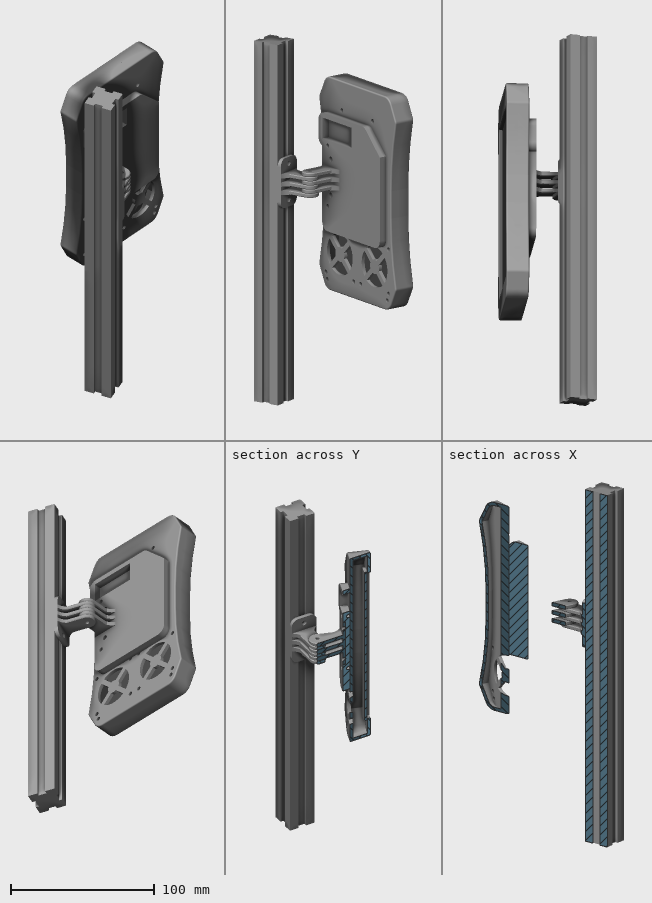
import cadquery as cq
import math

POST_LENGTH = 260.0
POST_SIDE = 20.0
GROOVE_WIDTH = 6.0
GROOVE_DEPTH = 2.3

BASE_THICKNESS = 2.5
BASE_LENGTH = 36.0
BASE_CORNER_RADIUS = 5.2
AXIS_TO_BASE_BOTTOM = 20.5
PRONG_COUNT = 3
PRONG_PITCH = 6.0
PRONG_THICKNESS = PRONG_PITCH / 2
PRONG_RADIUS = 6.0
PRONG_FLARE = POST_SIDE / 2 - PRONG_RADIUS
PRONG_FLARE_SAG = 0.4
PRONG_CHAMFER = 0.5
CHAMFER_START = 0.3
PIVOT_HOLE_DIAMETER = 2.9
BASE_SCREW_DIAMETER = 3.6
BASE_SCREW_SPACING = 26.0

TILT = 19.0
HINGE_Y = POST_SIDE / 2 + AXIS_TO_BASE_BOTTOM
POST_BRACKET_Z = 29.6
MONITOR_BRACKET_Z = POST_BRACKET_Z + PRONG_PITCH / 2

HOUSING_ACROSS = 23.1
HOUSING_Z = 25.2
HOUSING_DEPTH = 15.9
HALF_HEIGHT = 77.0
HALF_END_WIDTH = 36.5
HALF_TIP_WIDTH = 44.5
TIP_HEIGHT = 60.3
HALF_WAIST_WIDTH = 38.7
HALF_WAIST_LENGTH = 10.0
END_CORNER_RADIUS = 8.0
TIP_RADIUS = 3.0
EDGE_FILLET = 1.0
WALL = 2.5

WINDOW_WIDTH = 69.5
WINDOW_HEIGHT = 122.7
WINDOW_DROP = 1.0
WINDOW_DRAFT = 14.0
DISPLAY_RIM = 1.0
DISPLAY_THICKNESS = 2.0

COVER_THICKNESS = 5.5
COVER_LEFT = -14.3
COVER_RIGHT = 56.5
COVER_STEP_LEFT = -POST_SIDE / 2
COVER_TOP = 52.0
COVER_BOTTOM = -32.5
COVER_STEP_Z = 33.8
COVER_BEVEL = 18.0
COVER_CORNER_RADIUS = 6.0
COVER_WINDOW_LEFT = -9.5
COVER_WINDOW_RIGHT = 24.0
COVER_WINDOW_BOTTOM = 33.3
COVER_WINDOW_TOP = 48.4
COVER_SCREW_DIAMETER = 3.0
COVER_SCREW_ACROSS = -3.6
COVER_SCREW_SPACING = 43.7

FAN_SIZE = 40.0
FAN_Z = -48.5
FAN_SCREW_SPACING = 32.0
VENT_OUTER_RADIUS = 14.8
VENT_INNER_RADIUS = 5.2
VENT_ARM_WIDTH = 3.6
SHELL_SCREW_DIAMETER = 3.0
SHELL_SCREWS = [(17.7, 56.0), (34.5, -69.7)]

COVER_OUTER = -(AXIS_TO_BASE_BOTTOM - BASE_THICKNESS)
REAR_FACE = COVER_OUTER - COVER_THICKNESS
FRONT_FACE = REAR_FACE - HOUSING_DEPTH
SPLIT_FACE = (REAR_FACE + FRONT_FACE) / 2


def monitor_plane(depth, across=0.0, height=0.0):
    """Plane facing the back of the monitor: local x runs sideways and local y runs up."""
    angle = math.radians(TILT)
    back = cq.Vector(math.cos(angle), -math.sin(angle), 0)
    side = cq.Vector(math.sin(angle), math.cos(angle), 0)
    origin = cq.Vector(0, HINGE_Y, height) + back * depth + side * across
    return cq.Workplane(cq.Plane(origin=origin, xDir=side, normal=back))


def housing_plane(depth):
    return monitor_plane(depth, HOUSING_ACROSS, HOUSING_Z)


def make_post():
    post = cq.Workplane("XY").box(POST_SIDE, POST_SIDE, POST_LENGTH)
    groove_offset = (POST_SIDE - GROOVE_DEPTH) / 2
    groove = (
        cq.Workplane("XY")
        .box(GROOVE_DEPTH, GROOVE_WIDTH, POST_LENGTH)
        .translate((groove_offset, 0, 0))
    )
    for side in range(4):
        post = post.cut(groove.rotate((0, 0, 0), (0, 0, 1), 90 * side))
    return post


def bracket_base():
    """Base plate below a hinge axis at the origin; the prongs rise from it along +Y."""
    base = (
        cq.Workplane("XY")
        .box(POST_SIDE, BASE_THICKNESS, BASE_LENGTH)
        .edges("|Y")
        .fillet(BASE_CORNER_RADIUS)
    )
    return base.translate((0, BASE_THICKNESS / 2 - AXIS_TO_BASE_BOTTOM, 0))


def bracket_prong():
    """One prong, flared at the base and round about the hinge axis, its root inside the base."""
    base_top = BASE_THICKNESS - AXIS_TO_BASE_BOTTOM
    root = base_top - BASE_THICKNESS / 2
    flare_top = base_top + PRONG_FLARE
    foot = PRONG_RADIUS + PRONG_FLARE
    flare_middle = PRONG_FLARE / 2 - PRONG_FLARE_SAG * math.sqrt(0.5)
    hollow_across = PRONG_RADIUS + flare_middle
    hollow_height = base_top + flare_middle
    prong = (
        cq.Workplane("XY")
        .moveTo(-foot, root)
        .lineTo(foot, root)
        .lineTo(foot, base_top)
        .threePointArc((hollow_across, hollow_height), (PRONG_RADIUS, flare_top))
        .lineTo(PRONG_RADIUS, 0)
        .threePointArc((0, PRONG_RADIUS), (-PRONG_RADIUS, 0))
        .lineTo(-PRONG_RADIUS, flare_top)
        .threePointArc((-hollow_across, hollow_height), (-foot, base_top))
        .close()
        .extrude(PRONG_THICKNESS / 2, both=True)
    )
    above_flare = cq.selectors.BoxSelector(
        (-foot, flare_top + CHAMFER_START, -PRONG_THICKNESS),
        (foot, 2 * PRONG_RADIUS, PRONG_THICKNESS),
    )
    return prong.faces("<Z or >Z").edges(above_flare).chamfer(PRONG_CHAMFER)


def make_bracket():
    bracket = bracket_base()
    middle = (PRONG_COUNT - 1) / 2
    for index in range(PRONG_COUNT):
        bracket = bracket.union(bracket_prong().translate((0, 0, (index - middle) * PRONG_PITCH)))
    pivot_hole = cq.Workplane("XY").circle(PIVOT_HOLE_DIAMETER / 2).extrude(BASE_LENGTH / 2, both=True)
    screw_holes = (
        cq.Workplane("XZ")
        .pushPoints([(0, -BASE_SCREW_SPACING / 2), (0, BASE_SCREW_SPACING / 2)])
        .circle(BASE_SCREW_DIAMETER / 2)
        .extrude(AXIS_TO_BASE_BOTTOM)
    )
    return bracket.cut(pivot_hole).cut(screw_holes)


def place_on_post(body):
    return body.translate((0, HINGE_Y, POST_BRACKET_Z))


def place_on_monitor(body):
    turned = body.rotate((0, 0, 0), (0, 0, 1), -90 - TILT)
    return turned.translate((0, HINGE_Y, MONITOR_BRACKET_Z))


def waist_arc_point():
    """Middle of the arc that leaves the straight waist tangentially and ends at the tip."""
    rise = TIP_HEIGHT - HALF_WAIST_LENGTH
    swell = HALF_TIP_WIDTH - HALF_WAIST_WIDTH
    radius = (rise**2 + swell**2) / (2 * swell)
    half_angle = math.asin(rise / radius) / 2
    across = HALF_WAIST_WIDTH + radius * (1 - math.cos(half_angle))
    return across, HALF_WAIST_LENGTH + radius * math.sin(half_angle)


def is_tip_edge(edge):
    return math.isclose(abs(edge.Center().z - HOUSING_Z), TIP_HEIGHT, abs_tol=0.003)


def housing_block(depth, thickness):
    """Waisted outline of the housing with rounded tips and corners."""
    arc_across, arc_height = waist_arc_point()
    block = (
        housing_plane(depth)
        .moveTo(-HALF_END_WIDTH, HALF_HEIGHT)
        .lineTo(HALF_END_WIDTH, HALF_HEIGHT)
        .lineTo(HALF_TIP_WIDTH, TIP_HEIGHT)
        .threePointArc((arc_across, arc_height), (HALF_WAIST_WIDTH, HALF_WAIST_LENGTH))
        .lineTo(HALF_WAIST_WIDTH, -HALF_WAIST_LENGTH)
        .threePointArc((arc_across, -arc_height), (HALF_TIP_WIDTH, -TIP_HEIGHT))
        .lineTo(HALF_END_WIDTH, -HALF_HEIGHT)
        .lineTo(-HALF_END_WIDTH, -HALF_HEIGHT)
        .lineTo(-HALF_TIP_WIDTH, -TIP_HEIGHT)
        .threePointArc((-arc_across, -arc_height), (-HALF_WAIST_WIDTH, -HALF_WAIST_LENGTH))
        .lineTo(-HALF_WAIST_WIDTH, HALF_WAIST_LENGTH)
        .threePointArc((-arc_across, arc_height), (-HALF_TIP_WIDTH, TIP_HEIGHT))
        .close()
        .extrude(thickness)
    )
    along = cq.selectors.ParallelDirSelector(housing_plane(0).plane.zDir)
    block = block.edges(along).edges(">Z or <Z").fillet(END_CORNER_RADIUS)
    return block.edges(along).filter(is_tip_edge).fillet(TIP_RADIUS)


def shell_half(outer_face):
    """Half of the housing, hollow, open at the split, with its outer rim rounded."""
    back = housing_plane(0).plane.zDir
    half = housing_block(min(outer_face, SPLIT_FACE), HOUSING_DEPTH / 2)
    outward = back if outer_face > SPLIT_FACE else -back
    outer = cq.selectors.DirectionMinMaxSelector(outward, True)
    inner = cq.selectors.DirectionMinMaxSelector(outward, False)
    half = half.faces(outer).edges().fillet(EDGE_FILLET)
    return half.faces(inner).shell(-WALL)


def make_front_shell():
    window = (
        housing_plane(FRONT_FACE)
        .center(0, -WINDOW_DROP)
        .rect(WINDOW_WIDTH, WINDOW_HEIGHT)
        .extrude(WALL, taper=WINDOW_DRAFT)
    )
    return shell_half(FRONT_FACE).cut(window)


def make_display():
    return (
        housing_plane(FRONT_FACE + WALL)
        .center(0, -WINDOW_DROP)
        .rect(WINDOW_WIDTH + 2 * DISPLAY_RIM, WINDOW_HEIGHT + 2 * DISPLAY_RIM)
        .extrude(DISPLAY_THICKNESS)
    )


def fan_vent():
    """Ring parted into four openings by two crossed diagonal arms, with four screw holes."""
    ring = (
        housing_plane(REAR_FACE - WALL)
        .center(0, FAN_Z)
        .circle(VENT_OUTER_RADIUS)
        .circle(VENT_INNER_RADIUS)
        .extrude(WALL)
    )
    for arm_angle in (45, 135):
        arm = (
            housing_plane(REAR_FACE - WALL)
            .center(0, FAN_Z)
            .transformed(rotate=(0, 0, arm_angle))
            .rect(2 * VENT_OUTER_RADIUS + VENT_ARM_WIDTH, VENT_ARM_WIDTH)
            .extrude(WALL)
        )
        ring = ring.cut(arm)
    screws = (
        housing_plane(REAR_FACE - WALL)
        .center(0, FAN_Z)
        .rect(FAN_SCREW_SPACING, FAN_SCREW_SPACING, forConstruction=True)
        .vertices()
        .circle(SHELL_SCREW_DIAMETER / 2)
        .extrude(WALL)
    )
    return ring.add(screws).combine()


def make_rear_shell():
    rear = shell_half(REAR_FACE)
    side = housing_plane(0).plane.xDir
    for across in (-FAN_SIZE / 2, FAN_SIZE / 2):
        rear = rear.cut(fan_vent().translate(side * across))
    screw_points = [(sign * across, height) for across, height in SHELL_SCREWS for sign in (-1, 1)]
    screws = (
        housing_plane(REAR_FACE - WALL)
        .pushPoints(screw_points)
        .circle(SHELL_SCREW_DIAMETER / 2)
        .extrude(WALL)
    )
    return rear.cut(screws)


def step_arc_point(angle):
    """Point on the rounded lower corner of the wide part, by the angle turned from its side."""
    across = COVER_LEFT + COVER_CORNER_RADIUS * (1 - math.cos(angle))
    return across, COVER_STEP_Z - COVER_CORNER_RADIUS * math.sin(angle)


def is_cover_corner(edge):
    """True above the step and near the bottom, false for the joints of the step's arc."""
    height = edge.Center().z - HOUSING_Z
    step_bottom = COVER_STEP_Z - COVER_CORNER_RADIUS
    return height > COVER_STEP_Z + WALL / 10 or height < step_bottom - WALL


def make_cover():
    """Rear plate with a wide upper part, a bevelled corner and a seat for the hinge bracket."""
    step = COVER_STEP_LEFT - COVER_LEFT
    step_angle = math.acos(1 - step / COVER_CORNER_RADIUS)
    plate = (
        monitor_plane(REAR_FACE, height=HOUSING_Z)
        .moveTo(COVER_STEP_LEFT, COVER_BOTTOM)
        .lineTo(COVER_RIGHT, COVER_BOTTOM)
        .lineTo(COVER_RIGHT, COVER_TOP - COVER_BEVEL)
        .lineTo(COVER_RIGHT - COVER_BEVEL, COVER_TOP)
        .lineTo(COVER_LEFT, COVER_TOP)
        .lineTo(COVER_LEFT, COVER_STEP_Z)
        .threePointArc(step_arc_point(step_angle / 2), step_arc_point(step_angle))
        .close()
        .extrude(COVER_THICKNESS)
    )
    along = cq.selectors.ParallelDirSelector(housing_plane(0).plane.zDir)
    corners = plate.edges(along).filter(is_cover_corner)
    plate = corners.fillet(COVER_CORNER_RADIUS)
    window = (
        monitor_plane(REAR_FACE, height=HOUSING_Z)
        .moveTo(COVER_WINDOW_LEFT, COVER_WINDOW_BOTTOM)
        .lineTo(COVER_WINDOW_RIGHT, COVER_WINDOW_BOTTOM)
        .lineTo(COVER_WINDOW_RIGHT, COVER_WINDOW_TOP)
        .lineTo(COVER_WINDOW_LEFT, COVER_WINDOW_TOP)
        .close()
        .extrude(COVER_THICKNESS)
    )
    screws = (
        monitor_plane(REAR_FACE, COVER_SCREW_ACROSS, MONITOR_BRACKET_Z)
        .pushPoints([(0, -COVER_SCREW_SPACING / 2), (0, COVER_SCREW_SPACING / 2)])
        .circle(COVER_SCREW_DIAMETER / 2)
        .extrude(COVER_THICKNESS)
    )
    return plate.cut(window).cut(screws).cut(place_on_monitor(bracket_base()))


post = make_post()
post_bracket = place_on_post(make_bracket())
monitor_bracket = place_on_monitor(make_bracket())
front_shell = make_front_shell()
display = make_display()
rear_shell = make_rear_shell()
cover = make_cover()

bodies = [post, post_bracket, monitor_bracket, front_shell, display, rear_shell, cover]
result = cq.Compound.makeCompound([body.solids().val() for body in bodies])